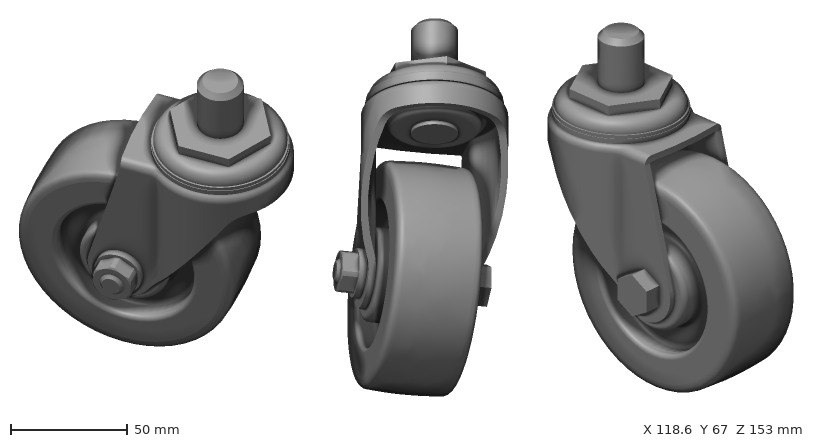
import cadquery as cq
import math


WHEEL_R = 50.0
SWIVEL_X = 36.9
STEM_TOP_Z = 103.0

SHEET_T = 3.0
LEG_OUTER_Y = 23.7
LEG_INNER_Y = LEG_OUTER_Y - SHEET_T
LEG_END_R = 15.0
SKIRT_R = 31.7
NECK_R = 6.3
PLATE_TOP_Z = 63.6
PLATE_BOTTOM_Z = PLATE_TOP_Z - SHEET_T
BEND_R = 3.8
BEND_Z = PLATE_TOP_Z - BEND_R
PLATE_BULGE = 1.7
SKIRT_BOTTOM_Z = 51.7
BACK_EDGE_SLOPE = 55.5
BACK_EDGE_R = 10.7

WHEEL_HALF_W = 19.1
TREAD_HALF_W = 15.5
TREAD_EDGE_R = 49.4
TYRE_FACE_R = 45.0
RECESS_R = 31.5
HUB_R = 20.5
WEB_HALF_W = 9.5
RECESS_FILLET = 2.1
HUB_FILLET = 2.5
SELECT_MARGIN = 0.2

BOLT_R = 6.0
BOLT_CHAMFER = 1.8
HEX_FLATS = 17.3
HEAD_END_Y = 31.7
WASHER_R = 10.7
WASHER_T = 3.2
NUT_T = 7.0
NUT_CHAMFER_H = 0.5
BOLT_TIP_Y = -35.3

STEM_R = 10.1
STEM_CHAMFER = 2.5
STEM_HEX_FLATS = 40.0
STEM_HEX_TOP_Z = 78.2
DOME_TOP_Z = 73.5
DOME_BOTTOM_Z = 67.6
DOME_R = 28.8
DOME_FILLET = 5.7
RACE_R = 29.8
RACE_SEAM_Z = 66.0
SEAM_STEP = 0.3
LOWER_RACE_R = 23.0
LOWER_RACE_CHAMFER = 1.5
LOWER_RACE_Z = 56.6
DISH_R = 20.2
DISH_FILLET = 3.0
DISH_BOTTOM_Z = 53.4
STUB_BOTTOM_Z = 51.7


def cylinder_y(radius, y_start, y_end):
    """Cylinder along the axle between two Y positions."""
    return cq.Workplane("XZ", origin=(0, y_start, 0)).circle(radius).extrude(y_start - y_end)


def hexagon_y(flats, y_start, y_end):
    """Hexagonal prism along the axle with corners up and down."""
    across_corners = flats / math.cos(math.pi / 6)
    plane = cq.Workplane("XZ", origin=(0, y_start, 0)).transformed(rotate=(0, 0, 90))
    return plane.polygon(6, across_corners).extrude(y_start - y_end)


def plan_prism(leg_y, skirt_r, neck_r, top_z):
    """Fork plan outline, flat legs blended into a round end, extruded up to top_z."""
    front_x = -LEG_END_R - SHEET_T
    bottom_z = -LEG_END_R - SHEET_T
    neck_y = leg_y + neck_r
    neck_dx = math.sqrt((skirt_r + neck_r) ** 2 - neck_y**2)
    neck_x = SWIVEL_X - neck_dx
    share = skirt_r / (skirt_r + neck_r)
    blend_x = SWIVEL_X - neck_dx * share
    blend_y = neck_y * share
    return (
        cq.Workplane("XY", origin=(0, 0, bottom_z))
        .moveTo(front_x, -leg_y)
        .lineTo(neck_x, -leg_y)
        .radiusArc((blend_x, -blend_y), neck_r)
        .threePointArc((SWIVEL_X + skirt_r, 0), (blend_x, blend_y))
        .radiusArc((neck_x, leg_y), neck_r)
        .lineTo(front_x, leg_y)
        .close()
        .extrude(top_z - bottom_z)
    )


def round_bend(prism, radius):
    """Round the top edge of a plan prism, leaving its straight front end sharp."""
    return prism.faces(">Z").edges("not <X").fillet(radius)


def fork_side_profile():
    """Side outline of the fork, extruded across the whole width."""
    front_tilt = math.asin(LEG_END_R / BEND_Z)
    front_x = -LEG_END_R * math.cos(front_tilt)
    front_z = LEG_END_R * math.sin(front_tilt)
    slope = math.radians(BACK_EDGE_SLOPE)
    back_x = LEG_END_R * math.sin(slope)
    back_z = -LEG_END_R * math.cos(slope)
    corner_x = back_x + (SKIRT_BOTTOM_Z - back_z) / math.tan(slope)
    blend = BACK_EDGE_R * math.tan(slope / 2)
    far_x = SWIVEL_X + SKIRT_R + SHEET_T
    return (
        cq.Workplane("XZ", origin=(0, SKIRT_R, 0))
        .moveTo(-PLATE_BULGE, PLATE_TOP_Z)
        .lineTo(-PLATE_BULGE, BEND_Z)
        .lineTo(0, BEND_Z)
        .lineTo(front_x, front_z)
        .threePointArc((0, -LEG_END_R), (back_x, back_z))
        .lineTo(corner_x - blend * math.cos(slope), SKIRT_BOTTOM_Z - blend * math.sin(slope))
        .radiusArc((corner_x + blend, SKIRT_BOTTOM_Z), BACK_EDGE_R)
        .lineTo(far_x, SKIRT_BOTTOM_Z)
        .lineTo(far_x, PLATE_TOP_Z)
        .close()
        .extrude(2 * SKIRT_R)
    )


def plate_end_cutter():
    """Trims the free end of the top plate to a shallow bow."""
    clear_x = -2 * PLATE_BULGE
    return (
        cq.Workplane("XY", origin=(0, 0, BEND_Z))
        .moveTo(clear_x, -LEG_OUTER_Y)
        .lineTo(0, -LEG_OUTER_Y)
        .threePointArc((-PLATE_BULGE, 0), (0, LEG_OUTER_Y))
        .lineTo(clear_x, LEG_OUTER_Y)
        .close()
        .extrude(BEND_R)
    )


def make_fork():
    outer = round_bend(plan_prism(LEG_OUTER_Y, SKIRT_R, NECK_R, PLATE_TOP_Z), BEND_R)
    inner = round_bend(
        plan_prism(LEG_INNER_Y, SKIRT_R - SHEET_T, NECK_R + SHEET_T, PLATE_BOTTOM_Z),
        BEND_R - SHEET_T,
    )
    fork = outer.cut(inner).intersect(fork_side_profile()).cut(plate_end_cutter())
    stem_hole = cq.Workplane("XY").center(SWIVEL_X, 0).circle(STEM_R).extrude(PLATE_TOP_Z)
    axle_hole = cylinder_y(BOLT_R, LEG_OUTER_Y, -LEG_OUTER_Y)
    return fork.cut(stem_hole).cut(axle_hole)


def slab_selector(radius, y):
    """Selects edges lying within a thin square slab across the axle at position y."""
    reach = radius + SELECT_MARGIN
    low = (-reach, y - SELECT_MARGIN, -reach)
    high = (reach, y + SELECT_MARGIN, reach)
    return cq.selectors.BoxSelector(low, high, boundingbox=True)


def rings(inner_r, outer_r, half_width):
    """Selects circular edges beyond inner_r, up to outer_r, at both +half_width and -half_width."""
    outer = slab_selector(outer_r, half_width) + slab_selector(outer_r, -half_width)
    inner = slab_selector(inner_r, half_width) + slab_selector(inner_r, -half_width)
    return outer - inner


def make_wheel():
    """Crowned wheel with a recess and a raised hub on each face."""
    profile = (
        cq.Workplane("XY")
        .moveTo(BOLT_R, -LEG_INNER_Y)
        .lineTo(HUB_R, -LEG_INNER_Y)
        .lineTo(HUB_R, -WEB_HALF_W)
        .lineTo(RECESS_R, -WEB_HALF_W)
        .lineTo(RECESS_R, -WHEEL_HALF_W)
        .lineTo(TYRE_FACE_R, -WHEEL_HALF_W)
        .spline(
            [(TREAD_EDGE_R, -TREAD_HALF_W)],
            tangents=[(1, 0), (0, 1)],
            includeCurrent=True,
        )
        .threePointArc((WHEEL_R, 0), (TREAD_EDGE_R, TREAD_HALF_W))
        .spline(
            [(TYRE_FACE_R, WHEEL_HALF_W)],
            tangents=[(0, 1), (-1, 0)],
            includeCurrent=True,
        )
        .lineTo(RECESS_R, WHEEL_HALF_W)
        .lineTo(RECESS_R, WEB_HALF_W)
        .lineTo(HUB_R, WEB_HALF_W)
        .lineTo(HUB_R, LEG_INNER_Y)
        .lineTo(BOLT_R, LEG_INNER_Y)
        .close()
    )
    wheel = profile.revolve(360, (0, 0, 0), (0, 1, 0))

    wheel = wheel.edges(rings(BOLT_R, HUB_R, LEG_INNER_Y)).fillet(HUB_FILLET)
    wheel = wheel.edges(rings(0, RECESS_R, WEB_HALF_W)).fillet(RECESS_FILLET)
    return wheel.edges(rings(0, RECESS_R, WHEEL_HALF_W)).fillet(RECESS_FILLET)


def make_axle():
    """Hex-head bolt carrying a washer and a nut at its threaded end."""
    washer_end_y = -LEG_OUTER_Y - WASHER_T
    nut_end_y = washer_end_y - NUT_T
    head = hexagon_y(HEX_FLATS, HEAD_END_Y, LEG_OUTER_Y)
    shank = cylinder_y(BOLT_R, LEG_OUTER_Y, BOLT_TIP_Y).faces("<Y").chamfer(BOLT_CHAMFER)
    washer = cylinder_y(WASHER_R, -LEG_OUTER_Y, washer_end_y)
    chamfer_depth = NUT_CHAMFER_H * math.sqrt(3)
    corner_r = HEX_FLATS / 2 + chamfer_depth
    nut_envelope = (
        cylinder_y(corner_r, washer_end_y, nut_end_y)
        .faces("<Y")
        .edges()
        .chamfer(NUT_CHAMFER_H, chamfer_depth)
    )
    nut = hexagon_y(HEX_FLATS, washer_end_y, nut_end_y).intersect(nut_envelope)
    return head.union(shank).union(washer).union(nut)


def disc(radius, z_start, z_end):
    """Cylinder on the swivel axis between two heights."""
    return cq.Workplane("XY", origin=(SWIVEL_X, 0, z_start)).circle(radius).extrude(z_end - z_start)


def make_stem():
    """Threaded stem, hexagon, domed cover and the races above and below the plate."""
    post = disc(STEM_R, STUB_BOTTOM_Z, STEM_TOP_Z).faces(">Z").chamfer(STEM_CHAMFER)
    hexagon = (
        cq.Workplane("XY", origin=(SWIVEL_X, 0, DOME_TOP_Z))
        .polygon(6, STEM_HEX_FLATS / math.cos(math.pi / 6))
        .extrude(STEM_HEX_TOP_Z - DOME_TOP_Z)
    )
    dome = disc(DOME_R, DOME_BOTTOM_Z, DOME_TOP_Z).faces(">Z").edges().fillet(DOME_FILLET)
    cover_rim = disc(RACE_R - SEAM_STEP, RACE_SEAM_Z, DOME_BOTTOM_Z)
    upper_race = disc(RACE_R, PLATE_TOP_Z, RACE_SEAM_Z)
    lower_race = disc(LOWER_RACE_R, LOWER_RACE_Z, PLATE_BOTTOM_Z).faces("<Z").chamfer(LOWER_RACE_CHAMFER)
    dish = disc(DISH_R, DISH_BOTTOM_Z, LOWER_RACE_Z).faces("<Z").edges().fillet(DISH_FILLET)
    stem = post.union(hexagon).union(dome).union(cover_rim)
    return stem.union(upper_race).union(lower_race).union(dish)


fork = make_fork()
wheel = make_wheel()
axle = make_axle()
stem = make_stem()

bodies = [fork, wheel, axle, stem]
result = cq.Compound.makeCompound([body.solids().val() for body in bodies])